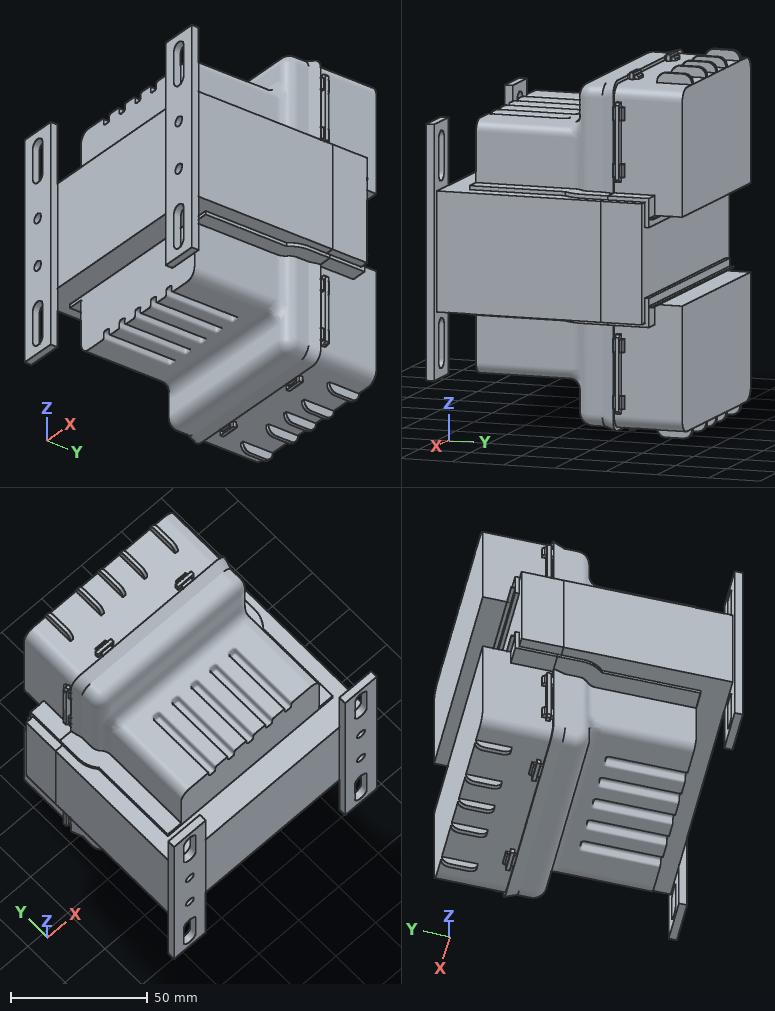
import cadquery as cq
import math


strip_outer_x = 50.8
strip_width = 15.9
strip_thickness = 3.1
strip_length = 95.7
slot_width = 6.0
slot_length = 18.8
slot_z = 34.9
screw_hole_diameter = 4.1
screw_hole_z = 10.2

core_half_width = 47.8
core_half_height = 22.5
core_front_y = strip_thickness
core_joint_y = 67.0
core_back_y = 82.9

flange_thickness = 1.5
flange_half_width = 44.3
flange_narrow_half_width = 41.3
flange_top_z = core_half_height + flange_thickness
flange_front_y = 13.6
flange_corner_y = 50.8
flange_curve_y = 58.7
fold_end_z = 13.2
lip_thickness = 0.4

housing_half_width = 37.5
housing_top_z = 64.1
housing_radius = 5.0
joint_y = 68.5
shroud_front_y = 53.7
flare_height = 1.2
flare_length = 4.6

snout_half_width = 34.5
snout_top_z = 47.5
snout_radius = 4.5
snout_front_y = flange_front_y

groove_count = 5
groove_pitch = 9.5
groove_width = 3.3
groove_depth = 3.3
groove_end_y = 44.0
groove_radius = 1.0

cover_back_y = 95.0
cover_bottom_z = 16.6
fin_xs = (-26.2, -10.9, 0, 10.9, 26.2)
fin_thickness = 1.5
fin_front_y = 81.4
fin_top_z = 68.0
fin_radius = 3.4

latch_bar_height = 2.5
latch_bar_front_y = 69.7
latch_bar_thickness = 1.5
latch_rib_height = 1.5
latch_rib_width = 4.9
latch_rib_back_y = 72.7
latch_rib_chamfer = 0.7
top_latch_x = 20.1
top_latch_length = 7.9
side_latch_z = 43.2
side_latch_length = 29.6
side_latch_rib_spacing = 21.2
side_latch_chamfer = 1.0

selection_margin = 0.1


def block(x_range, y_range, z_range):
    """Box between the given limits."""
    (x0, x1), (y0, y1), (z0, z1) = x_range, y_range, z_range
    return cq.Workplane("XY").box(x1 - x0, y1 - y0, z1 - z0, centered=False).translate((x0, y0, z0))


def rounded_block(half_width, y_range, top_z, radius):
    """Block standing on the core, with its two upper edges along Y rounded."""
    body = block((-half_width, half_width), y_range, (core_half_height, top_z))
    return body.edges("|Y and >Z").fillet(radius)


def core_piece(front_y, back_y):
    return block(
        (-core_half_width, core_half_width),
        (front_y, back_y),
        (-core_half_height, core_half_height),
    )


def mounting_strip(side):
    """Flat strip with a slot near each end and two screw holes, on the +X or -X side."""
    centre_x = strip_outer_x - strip_width / 2
    strip = cq.Workplane("XZ").rect(strip_width, strip_length).extrude(-strip_thickness)
    strip = strip.cut(
        cq.Workplane("XZ")
        .pushPoints([(0, slot_z), (0, -slot_z)])
        .slot2D(slot_length, slot_width, 90)
        .extrude(-strip_thickness)
    )
    strip = strip.cut(
        cq.Workplane("XZ")
        .pushPoints([(0, screw_hole_z), (0, -screw_hole_z)])
        .circle(screw_hole_diameter / 2)
        .extrude(-strip_thickness)
    )
    return strip.translate((side * centre_x, 0, 0))


def shroud_flange():
    """Flange plate whose sides curve in to a narrower front part."""
    step = flange_half_width - flange_narrow_half_width
    run = flange_curve_y - flange_corner_y
    radius = (step**2 + run**2) / (2 * step)
    half_angle = math.asin(run / radius) / 2
    middle_x = flange_half_width - radius * (1 - math.cos(half_angle))
    middle_y = flange_curve_y - radius * math.sin(half_angle)
    return (
        cq.Workplane("XY", origin=(0, 0, core_half_height))
        .moveTo(-flange_half_width, joint_y)
        .lineTo(-flange_half_width, flange_curve_y)
        .threePointArc((-middle_x, middle_y), (-flange_narrow_half_width, flange_corner_y))
        .lineTo(-flange_narrow_half_width, flange_front_y)
        .lineTo(flange_narrow_half_width, flange_front_y)
        .lineTo(flange_narrow_half_width, flange_corner_y)
        .threePointArc((middle_x, middle_y), (flange_half_width, flange_curve_y))
        .lineTo(flange_half_width, joint_y)
        .close()
        .extrude(flange_thickness)
    )


def flare_outline(y, growth):
    """Rounded outline of the rim at the given Y, symmetric about the core's middle."""
    width = 2 * (housing_half_width + growth)
    height = 2 * (housing_top_z + growth)
    outline = cq.Sketch().rect(width, height).vertices().fillet(housing_radius)
    return outline.moved(cq.Location(cq.Plane.XZ(origin=(0, y, 0))))


def shroud_flare():
    """Rim that widens toward the terminal cover."""
    narrow_end = flare_outline(joint_y - flare_length, 0)
    wide_end = flare_outline(joint_y, flare_height)
    rim = cq.Workplane("XY").placeSketch(narrow_end, wide_end).loft()
    below_core_face = block(
        (-core_half_width, core_half_width), (0, cover_back_y), (-fin_top_z, core_half_height)
    )
    return rim.cut(below_core_face)


def groove_cutter(x):
    """Round-bottomed groove, open at the front of the snout."""
    cutter = block(
        (x - groove_width / 2, x + groove_width / 2),
        (snout_front_y - groove_width, groove_end_y),
        (snout_top_z - groove_depth, snout_top_z + groove_depth),
    )
    return cutter.edges("|Z and >Y").fillet(groove_radius).faces("<Z").edges().fillet(groove_radius)


def groove_mouth_edges(body):
    """Edges of the grooves where they meet the top of the snout."""
    half_span = (groove_count - 1) / 2 * groove_pitch + groove_width / 2 + selection_margin
    corner = (half_span, groove_end_y + selection_margin, snout_top_z + selection_margin)
    opposite = (-half_span, snout_front_y + selection_margin, snout_top_z - selection_margin)
    return body.edges(cq.selectors.BoxSelector(corner, opposite))


def snout_seam_edges(body):
    """Inside edges where the snout leaves the rounded front of the shroud."""
    corner = (-housing_half_width, shroud_front_y - selection_margin, core_half_height + selection_margin)
    opposite = (housing_half_width, flange_curve_y, snout_top_z + selection_margin)
    return body.edges(cq.selectors.BoxSelector(corner, opposite))


def shroud():
    """Coil shroud on the upper face of the core."""
    body = rounded_block(housing_half_width, (shroud_front_y, joint_y), housing_top_z, housing_radius)
    body = body.faces("<Y").edges("not <Z").fillet(housing_radius)

    snout = rounded_block(snout_half_width, (snout_front_y, joint_y), snout_top_z, snout_radius)
    body = body.union(snout)
    body = snout_seam_edges(body).fillet(housing_radius)

    for index in range(groove_count):
        body = body.cut(groove_cutter((index - (groove_count - 1) / 2) * groove_pitch))
    body = groove_mouth_edges(body).fillet(groove_radius)
    return body.union(shroud_flare()).union(shroud_flange())


def fin(x):
    """Upright fin with rounded upper corners, reaching to the back of the cover."""
    fin_body = block(
        (x - fin_thickness / 2, x + fin_thickness / 2),
        (fin_front_y, cover_back_y),
        (housing_top_z - fin_radius, fin_top_z),
    )
    return fin_body.edges("|X and >Z").fillet(fin_radius)


def latch(length, rib_positions, end_chamfer):
    """Latch standing on the plane Z = 0, with its bar along X."""
    bar = block(
        (-length / 2, length / 2),
        (latch_bar_front_y, latch_bar_front_y + latch_bar_thickness),
        (0, latch_bar_height),
    )
    if end_chamfer:
        bar = bar.edges("|Y and >Z").chamfer(end_chamfer)
    for x in rib_positions:
        rib = block(
            (x - latch_rib_width / 2, x + latch_rib_width / 2),
            (joint_y, latch_rib_back_y),
            (0, latch_rib_height),
        )
        rib = rib.edges("|X and >Z and >Y").chamfer(latch_rib_chamfer)
        bar = bar.union(rib)
    return bar


def cover_flange():
    """Flange plate folded down behind the core, with a thin lip on the fold."""
    width = (-flange_half_width, flange_half_width)
    fold_back_y = core_back_y + flange_thickness
    plate = block(width, (joint_y, fold_back_y), (core_half_height, flange_top_z))
    fold = block(width, (core_back_y, fold_back_y), (fold_end_z, flange_top_z))
    lip = block(
        width,
        (core_back_y, fold_back_y + flange_thickness),
        (cover_bottom_z - lip_thickness, cover_bottom_z),
    )
    return plate.union(fold).union(lip)


def terminal_cover():
    """Terminal cover on the upper face of the core, reaching down behind it."""
    body = rounded_block(housing_half_width, (joint_y, cover_back_y), housing_top_z, housing_radius)
    behind_core = block(
        (-housing_half_width, housing_half_width),
        (core_back_y, cover_back_y),
        (cover_bottom_z, flange_top_z),
    )
    body = body.union(behind_core).union(cover_flange())
    for x in fin_xs:
        body = body.union(fin(x))

    top_latch = latch(top_latch_length, [0], 0)
    half_spacing = side_latch_rib_spacing / 2
    side_latch = latch(side_latch_length, [-half_spacing, half_spacing], side_latch_chamfer)
    for side in (-1, 1):
        body = body.union(top_latch.translate((side * top_latch_x, 0, housing_top_z)))
        turned_latch = side_latch.rotate((0, 0, 0), (0, 1, 0), side * 90)
        body = body.union(turned_latch.translate((side * housing_half_width, 0, side_latch_z)))
    return body


core_pieces = [core_piece(core_front_y, core_joint_y), core_piece(core_joint_y, core_back_y)]
strips = [mounting_strip(side) for side in (-1, 1)]

shrouds = []
covers = []
for bodies, make_upper_body in ((shrouds, shroud), (covers, terminal_cover)):
    upper_body = make_upper_body()
    bodies.append(upper_body)
    bodies.append(upper_body.mirror("XY"))

all_bodies = core_pieces + strips + shrouds + covers
result = cq.Compound.makeCompound([body.solids().val() for body in all_bodies])